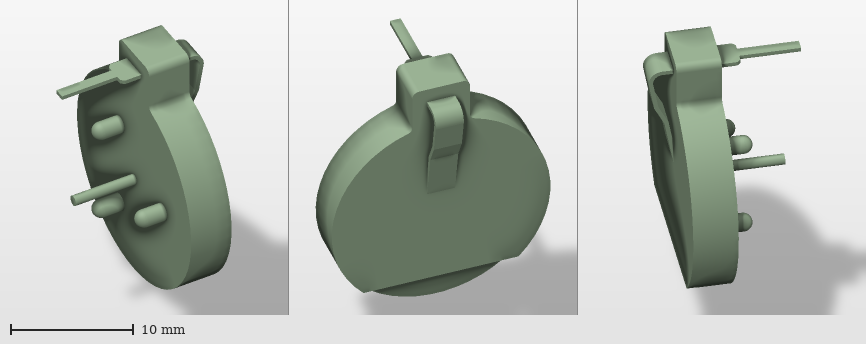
import cadquery as cq
import math

BODY_DIAMETER = 19.02
BODY_RADIUS = BODY_DIAMETER / 2
BODY_DEPTH = 3.78
TOTAL_HEIGHT = 22.78
TAB_TOP = TOTAL_HEIGHT - BODY_RADIUS
TAB_WIDTH = 5.01
TAB_CORNER_RADIUS = 0.62
TAB_ROOT_RADIUS = 0.5
STEP_HEIGHT = 2.8
STEP_DEPTH = 1.1

PEG_RADIUS = 0.77
PEG_LENGTH = 2.55
PEG_CIRCLE_RADIUS = 4.75
PEG_COUNT = 3
PIN_RADIUS = 0.45
PIN_LENGTH = 5.7

STRIP_THICKNESS = 0.36
STRIP_WIDTH = 2.44
STRIP_DROP = 1.32
STRIP_TOP = TAB_TOP - STRIP_DROP
SHOULDER_REACH = 1.85
SHOULDER_CHAMFER = 0.3
TAIL_WIDTH = 0.93
TAIL_REACH = 7.0
BEND_RADIUS = 1.15
BEND_Y = 4.7
ARM_TILT = math.radians(10)
JOG_TILT = math.radians(26)
JOG_TOP = 8.13
JOG_BOTTOM = 6.38
ARM_END = 1.82


def front_cylinder(radius, length, x=0, z=0):
    """Cylinder standing on the front face and pointing toward -Y."""
    return cq.Workplane("XZ").center(x, z).circle(radius).extrude(length)


def make_body():
    half_width = TAB_WIDTH / 2
    fillet_x = half_width + TAB_ROOT_RADIUS
    fillet_z = math.sqrt((BODY_RADIUS + TAB_ROOT_RADIUS) ** 2 - fillet_x ** 2)
    shrink = BODY_RADIUS / (BODY_RADIUS + TAB_ROOT_RADIUS)
    rim_x = fillet_x * shrink
    rim_z = fillet_z * shrink
    body = (
        cq.Workplane("XZ")
        .moveTo(rim_x, rim_z)
        .threePointArc((0, -BODY_RADIUS), (-rim_x, rim_z))
        .radiusArc((-half_width, fillet_z), -TAB_ROOT_RADIUS)
        .lineTo(-half_width, TAB_TOP)
        .lineTo(half_width, TAB_TOP)
        .lineTo(half_width, fillet_z)
        .radiusArc((rim_x, rim_z), -TAB_ROOT_RADIUS)
        .close()
        .extrude(-BODY_DEPTH)
    )
    body = body.edges("|Y and >Z").fillet(TAB_CORNER_RADIUS)
    step = cq.Workplane("XY").box(
        2 * BODY_RADIUS, STEP_DEPTH, STEP_HEIGHT, centered=(True, False, False)
    )
    return body.cut(step.translate((0, BODY_DEPTH - STEP_DEPTH, -BODY_RADIUS)))


def make_peg(x, z):
    """Round peg with a hemispherical tip."""
    shank_length = PEG_LENGTH - PEG_RADIUS
    tip = cq.Workplane("XY").sphere(PEG_RADIUS).translate((x, -shank_length, z))
    return front_cylinder(PEG_RADIUS, shank_length, x, z).union(tip)


def make_tail():
    """Flat front end of the contact: a chamfered shoulder and a narrow tail."""
    shoulder = (
        cq.Workplane("XY")
        .box(STRIP_WIDTH, SHOULDER_REACH + BEND_Y, STRIP_THICKNESS, centered=(True, False, False))
        .translate((0, -SHOULDER_REACH, 0))
        .edges("|Z and <Y")
        .chamfer(SHOULDER_CHAMFER)
    )
    tail = (
        cq.Workplane("XY")
        .box(TAIL_WIDTH, TAIL_REACH, STRIP_THICKNESS, centered=(True, False, False))
        .translate((0, -TAIL_REACH, 0))
    )
    return shoulder.union(tail).translate((0, 0, STRIP_TOP - STRIP_THICKNESS))


def make_spring_arm():
    """Rear end of the contact: bent down and jogged toward the body."""
    bend_z = STRIP_TOP - BEND_RADIUS

    def bend_point(radius, angle):
        return (BEND_Y + radius * math.cos(angle), bend_z + radius * math.sin(angle))

    def arm_edge(inset):
        """Points from the bend to the arm end, inset from the outer surface."""
        start = bend_point(BEND_RADIUS - inset, -ARM_TILT)
        outer_start = bend_point(BEND_RADIUS, -ARM_TILT)
        jog_y = outer_start[0] - (outer_start[1] - JOG_TOP) * math.tan(ARM_TILT)
        foot_y = jog_y - (JOG_TOP - JOG_BOTTOM) * math.tan(JOG_TILT)
        end_y = foot_y - (JOG_BOTTOM - ARM_END) * math.tan(ARM_TILT)
        bisector = (ARM_TILT + JOG_TILT) / 2
        miter = inset / math.cos((JOG_TILT - ARM_TILT) / 2)
        shift_y = -miter * math.cos(bisector)
        shift_z = miter * math.sin(bisector)
        return [
            start,
            (jog_y + shift_y, JOG_TOP + shift_z),
            (foot_y + shift_y, JOG_BOTTOM + shift_z),
            (end_y - inset * math.cos(ARM_TILT), ARM_END + inset * math.sin(ARM_TILT)),
        ]

    inner_radius = BEND_RADIUS - STRIP_THICKNESS
    mid_angle = (math.pi / 2 - ARM_TILT) / 2
    outer = arm_edge(0)
    inner = arm_edge(STRIP_THICKNESS)
    profile = cq.Workplane("YZ").moveTo(BEND_Y, STRIP_TOP)
    profile = profile.threePointArc(bend_point(BEND_RADIUS, mid_angle), outer[0])
    for point in outer[1:] + inner[::-1]:
        profile = profile.lineTo(*point)
    profile = profile.threePointArc(
        bend_point(inner_radius, mid_angle), (BEND_Y, STRIP_TOP - STRIP_THICKNESS)
    )
    return profile.close().extrude(STRIP_WIDTH / 2, both=True)


result = make_body().union(front_cylinder(PIN_RADIUS, PIN_LENGTH))
for index in range(PEG_COUNT):
    peg_angle = 2 * math.pi * index / PEG_COUNT
    peg_x = PEG_CIRCLE_RADIUS * math.cos(peg_angle)
    peg_z = PEG_CIRCLE_RADIUS * math.sin(peg_angle)
    result = result.union(make_peg(peg_x, peg_z))
result = result.union(make_tail()).union(make_spring_arm())